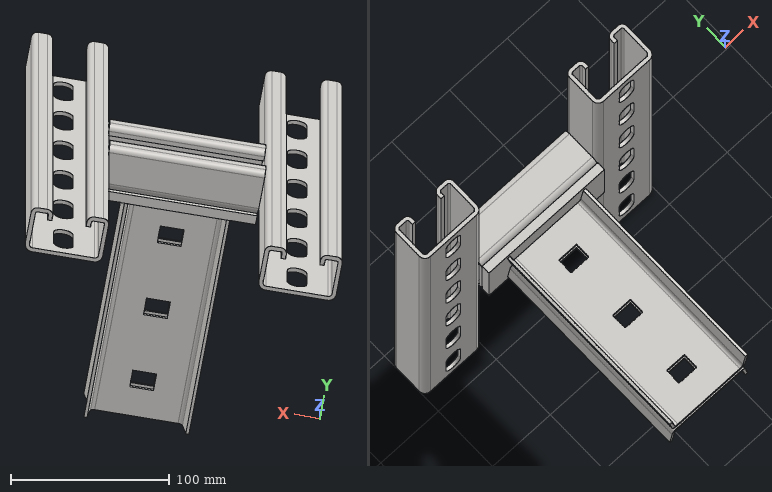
import cadquery as cq
import math

strut_width = 50.0
strut_depth = 30.3
strut_wall = 2.82
strut_lip_width = 14.0
strut_lip_depth = 7.0
strut_front_bend = 5.0
strut_lip_bend = 4.2
post_height = 297
beam_length = 100.0
post_spacing = beam_length + strut_width

slot_count = 6
slot_pitch = 50.0
slot_length = 30.0
slot_width = 12.5

plate_thickness = 6.2

tray_length = 150.0
tray_width = 67.7
tray_height = 17.8
tray_wall = 2.23
tray_gap = 5.0
tray_bend = 5.0
flange_lean = math.radians(9)
hole_count = 3
hole_pitch = 50.0
hole_width = 15.0
hole_length = 11.3

strut_front = -strut_depth
plate_front = strut_front - plate_thickness


def bent_path(plane, points, radii):
    """Wire along the points, with each inner corner rounded to its own radius."""
    corners = [plane.toWorldCoords(point) for point in points]
    edges = []
    start = corners[0]
    for before, corner, after, radius in zip(corners, corners[1:], corners[2:], radii):
        toward = (corner - before).normalized()
        away = (after - corner).normalized()
        setback = radius * math.tan(toward.getAngle(away) / 2)
        bend_start = corner - toward * setback
        bend_end = corner + away * setback
        edges.append(cq.Edge.makeLine(start, bend_start))
        edges.append(cq.Edge.makeTangentArc(bend_start, toward, bend_end))
        start = bend_end
    edges.append(cq.Edge.makeLine(start, corners[-1]))
    return cq.Wire.assembleEdges(edges)


def bent_sheet(plane, points, radii, wall, length):
    """Sheet of constant wall that follows a bent centreline, centred on the plane along its normal."""
    spine = bent_path(plane, points, radii)
    start_plane = cq.Plane(spine.startPoint(), xDir=plane.zDir, normal=spine.tangentAt(0))
    return cq.Workplane(start_plane).rect(length, wall).sweep(cq.Workplane(spine))


def make_strut(length):
    """Upright C-section with its web to the front and its lips turned in at the back."""
    half_wall = strut_wall / 2
    side = strut_width / 2 - half_wall
    lip = strut_width / 2 - strut_lip_width + half_wall
    back = -half_wall
    web = strut_front + half_wall
    left_half = [(-lip, -strut_lip_depth), (-lip, back), (-side, back), (-side, web)]
    right_half = [(-x, y) for x, y in reversed(left_half)]
    lip_radius = strut_lip_bend - half_wall
    web_radius = strut_front_bend - half_wall
    half_radii = [lip_radius, lip_radius, web_radius]
    radii = half_radii + half_radii[::-1]
    return bent_sheet(cq.Plane.XY(), left_half + right_half, radii, strut_wall, length)


def make_post():
    slot_row = (
        cq.Workplane("XZ", origin=(0, strut_front, 0))
        .rarray(3, slot_pitch, 1, slot_count)
        .slot2D(slot_length, slot_width, 90)
        .extrude(strut_wall, both=True)
    )
    return make_strut(post_height).cut(slot_row)


def make_beam():
    return make_strut(beam_length).rotate((0, 0, 0), (0, 1, 0), 90)


def make_plate():
    return (
        cq.Workplane("XZ", origin=(0, strut_front, 0))
        .rect(beam_length, strut_width)
        .extrude(plate_thickness)
    )


def make_tray():
    """Upper tray: flat web at the bottom and two flanges that lean outwards."""
    half_wall = tray_wall / 2
    web = tray_gap / 2 + half_wall
    tip_x = tray_width / 2 - half_wall * math.cos(flange_lean)
    tip_z = tray_gap / 2 + tray_height - half_wall * math.sin(flange_lean)
    corner_x = tip_x - (tip_z - web) * math.tan(flange_lean)
    points = [(-tip_x, tip_z), (-corner_x, web), (corner_x, web), (tip_x, tip_z)]
    radius = tray_bend - half_wall
    middle = cq.Plane(origin=(0, plate_front - tray_length / 2, 0), xDir=(1, 0, 0), normal=(0, -1, 0))
    tray = bent_sheet(middle, points, [radius, radius], tray_wall, tray_length)
    hole_row = (
        cq.Workplane("XY", origin=(0, middle.origin.y, web))
        .rarray(3, hole_pitch, 1, hole_count)
        .rect(hole_width, hole_length)
        .extrude(tray_wall, both=True)
    )
    return tray.cut(hole_row)


posts = [make_post().translate((side * post_spacing / 2, 0, 0)) for side in (-1, 1)]
beam = make_beam()
plate = make_plate()
trays = [make_tray().rotate((0, 0, 0), (0, 1, 0), turn) for turn in (0, 180)]

bodies = posts + [beam, plate] + trays
result = cq.Compound.makeCompound([body.val() for body in bodies])